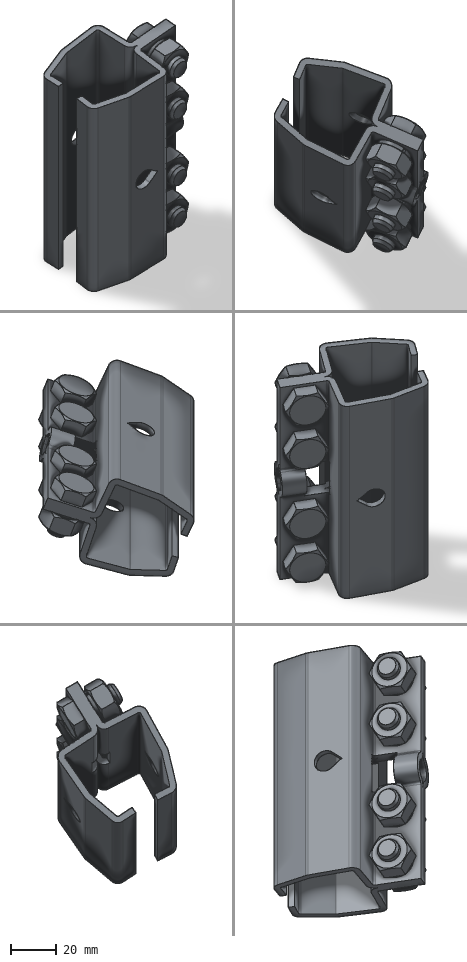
import cadquery as cq
import math

length = 110.0
sheet = 3.0
bend_radius = 1.0
overall_width = 44.9
overall_depth = 64.7
flange_height = 21.1
side_height = 19.4
lip_width = 6.9
tilt = 3.0
lower_lean = 18.0

outer_bend = bend_radius + sheet
centre_offset = bend_radius + outer_bend
tilt_sin = math.sin(math.radians(tilt))
tilt_cos = math.cos(math.radians(tilt))
web_width = (overall_width / 2 - 2 * outer_bend + centre_offset * tilt_sin) / tilt_cos
side_bend_y = (
    overall_depth - flange_height - web_width * tilt_sin - (centre_offset + side_height) * tilt_cos
)
lower_side = (side_bend_y - outer_bend) / math.cos(math.radians(lower_lean))

bolt_edge_distance = 11.1
bolt_y = overall_depth - bolt_edge_distance
bolt_heights = (-45.0, -20.0, 20.0, 45.0)
bolt_diameter = 10.0
bolt_end = 17.0
tip_chamfer_length = 1.5
tip_chamfer_depth = 0.94
across_flats = 17.0
chamfer_diameter = 16.4
chamfer_angle = 30.0
head_height = 6.4
nut_height = 8.5
washer_diameter = 15.5
washer_thickness = 2.0
washer_gap = 1.3
washer_gap_angle = 50.0

sleeve_bore = 10.0
sleeve_bend_radius = 1.5
window_height = 18.0
window_width = 9.0

drop_y = 26.4
drop_diameter = 10.0
drop_tip = 7.8


def polar(point, angle, distance):
    """Point at a distance from another point, in a direction given in degrees."""
    a = math.radians(angle)
    return (point[0] + distance * math.cos(a), point[1] + distance * math.sin(a))


def folded_half():
    """Right half of the folded sheet, following the middle of the sheet from the flange top."""
    folds = [
        (flange_height, 90 - tilt),
        (web_width, -90),
        (side_height, tilt - lower_lean),
        (lower_side, lower_lean - 90 - tilt),
    ]
    mid_radius = bend_radius + sheet / 2
    half = sheet / 2
    point = (half, overall_depth)
    heading = -90.0
    bends = []
    for straight, turn in folds:
        point = polar(point, heading, straight)
        side = math.copysign(90, turn)
        centre = polar(point, heading + side, mid_radius)
        stops = []
        for share in (0, 0.5, 1):
            direction = heading + share * turn
            on_arc = polar(centre, direction - side, mid_radius)
            stops.append((polar(on_arc, direction + 90, half), polar(on_arc, direction - 90, half)))
        bends.append(stops)
        heading += turn
        point = polar(centre, heading - side, mid_radius)
    end = polar(point, heading, lip_width)

    section = cq.Workplane("XY").moveTo(sheet, overall_depth)
    for start, middle, stop in bends:
        section = section.lineTo(*start[0]).threePointArc(middle[0], stop[0])
    section = section.lineTo(*polar(end, heading + 90, half)).lineTo(*polar(end, heading - 90, half))
    for start, middle, stop in reversed(bends):
        section = section.lineTo(*stop[1]).threePointArc(middle[1], start[1])
    section = section.lineTo(0, overall_depth).close()
    return section.extrude(length / 2, both=True)


def box_between(x_size, y_low, y_high, z_size):
    """Box centred on X = 0 and Z = 0 that spans a range of Y."""
    middle = (y_low + y_high) / 2
    return cq.Workplane("XY").box(x_size, y_high - y_low, z_size).translate((0, middle, 0))


def half_sleeve():
    """Half of the sleeve pressed out of the right flange, and the flange piece it replaces."""
    inner = sleeve_bore / 2
    outer = inner + sheet
    root_outer = sleeve_bend_radius + sheet
    root_x = root_outer
    root_z = math.sqrt((inner + root_outer) ** 2 - root_x ** 2)
    root_direction = math.degrees(math.atan2(root_z, root_x))
    root = (root_x, root_z)
    root_middle = 180 + root_direction / 2

    bore_join = polar((0, 0), root_direction, inner)
    outer_join = polar((0, 0), root_direction, outer)
    bore_arc = polar(root, root_middle, root_outer)
    outer_arc = polar(root, root_middle, sleeve_bend_radius)

    def below(point):
        return (point[0], -point[1])

    section = (
        cq.Workplane("XZ", origin=(0, overall_depth, 0))
        .moveTo(0, root_z)
        .threePointArc(bore_arc, bore_join)
        .threePointArc((inner, 0), below(bore_join))
        .threePointArc(below(bore_arc), (0, -root_z))
        .lineTo(sheet, -root_z)
        .threePointArc(below(outer_arc), below(outer_join))
        .threePointArc((outer, 0), outer_join)
        .threePointArc(outer_arc, (sheet, root_z))
        .close()
    )
    replaced = box_between(2 * sheet, bolt_y, overall_depth, 2 * root_z)
    return section.extrude(bolt_edge_distance), replaced


def drop_hole():
    """Drop-shaped cutter through both side walls, pointing to +Y."""
    radius = drop_diameter / 2
    touch_angle = math.degrees(math.acos(radius / drop_tip))
    centre = (drop_y, 0)
    return (
        cq.Workplane("YZ")
        .moveTo(drop_y + drop_tip, 0)
        .lineTo(*polar(centre, touch_angle, radius))
        .threePointArc((drop_y - radius, 0), polar(centre, -touch_angle, radius))
        .close()
        .extrude(length / 2, both=True)
    )


def channel():
    """Both mirrored sheets with the sleeve, the window under it and the side holes."""
    window = box_between(window_width, overall_depth / 2, bolt_y, window_height)
    sleeve, replaced = half_sleeve()
    sheet_half = folded_half().cut(window).cut(replaced).union(sleeve)
    both = sheet_half.union(sheet_half.mirror("YZ"))
    return both.cut(drop_hole())


def hexagon(x_start, height, chamfer_start, chamfer_end):
    """Hexagonal prism along X, corners towards Y, with turned chamfers on the chosen ends."""
    corner = across_flats / math.sqrt(3)
    face = chamfer_diameter / 2
    drop = (corner - face) * math.tan(math.radians(chamfer_angle))
    x_end = x_start + height
    prism = cq.Workplane("YZ", origin=(x_start, 0, 0)).polygon(6, 2 * corner).extrude(height)
    profile = cq.Workplane("XY").moveTo(x_start, 0)
    if chamfer_start:
        profile = profile.lineTo(x_start, face).lineTo(x_start + drop, corner)
    else:
        profile = profile.lineTo(x_start, corner)
    if chamfer_end:
        profile = profile.lineTo(x_end - drop, corner).lineTo(x_end, face)
    else:
        profile = profile.lineTo(x_end, corner)
    envelope = profile.lineTo(x_end, 0).close().revolve(360, (0, 0, 0), (1, 0, 0))
    return prism.intersect(envelope)


def spring_washer():
    """Split ring lying on the right flange."""
    radius = washer_diameter / 2
    ring = cq.Workplane("YZ", origin=(sheet, 0, 0)).circle(radius).extrude(washer_thickness)
    split = cq.Workplane("XY").box(2 * washer_thickness, washer_diameter, washer_gap)
    split = split.translate((sheet + washer_thickness / 2, radius, 0))
    return ring.cut(split.rotate((0, 0, 0), (1, 0, 0), washer_gap_angle))


def bolt():
    """Bolt, spring washer and nut on the X axis, clamping both flanges."""
    radius = bolt_diameter / 2
    tip_radius = radius - tip_chamfer_depth
    shank = (
        cq.Workplane("XY")
        .moveTo(-sheet, 0)
        .lineTo(-sheet, radius)
        .lineTo(bolt_end - tip_chamfer_length, radius)
        .lineTo(bolt_end, tip_radius)
        .lineTo(bolt_end, 0)
        .close()
        .revolve(360, (0, 0, 0), (1, 0, 0))
    )
    head = hexagon(-sheet - head_height, head_height, True, False)
    nut = hexagon(sheet + washer_thickness, nut_height, True, True)
    return spring_washer().union(shank).union(head).union(nut)


result = channel()
one_bolt = bolt()
for height in bolt_heights:
    result = result.union(one_bolt.translate((0, bolt_y, height)))